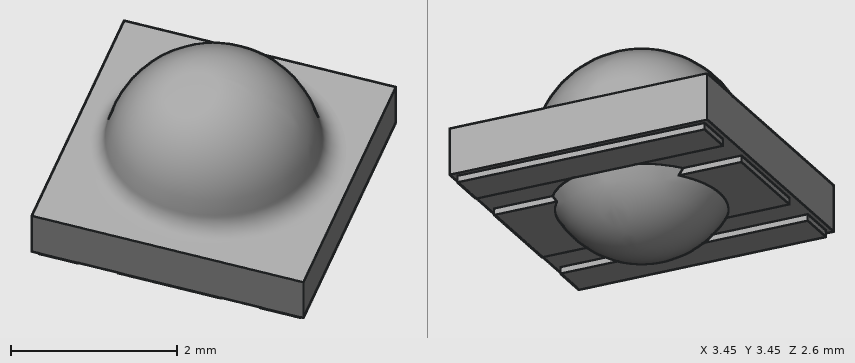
import cadquery as cq
import math

plate_size = 3.45
plate_thickness = 0.618

dome_radius = 1.328
dome_center_drop = 0.028
skirt_radius = 1.597

lower_dome_radius = 1.21
lower_dome_depth = 0.683

pad_thickness = 0.085
pad_length = 3.312
side_pad_width = 0.505
center_pad_width = 1.305
side_pad_offset = (pad_length - side_pad_width) / 2


def make_upper_dome():
    """Spherical dome with a fillet tangent to both sphere and plate top."""
    center_z = plate_thickness - dome_center_drop
    apex_z = center_z + dome_radius
    fillet_radius = (skirt_radius**2 + dome_center_drop**2 - dome_radius**2) / (
        2 * (dome_radius - dome_center_drop)
    )
    join_angle = math.atan2(fillet_radius + dome_center_drop, skirt_radius)
    join = (
        dome_radius * math.cos(join_angle),
        center_z + dome_radius * math.sin(join_angle),
    )
    dome_mid_angle = (join_angle + math.pi / 2) / 2
    dome_mid = (
        dome_radius * math.cos(dome_mid_angle),
        center_z + dome_radius * math.sin(dome_mid_angle),
    )
    fillet_mid_angle = (math.pi / 2 + join_angle) / 2
    fillet_mid = (
        skirt_radius - fillet_radius * math.cos(fillet_mid_angle),
        plate_thickness + fillet_radius * (1 - math.sin(fillet_mid_angle)),
    )
    return (
        cq.Workplane("XZ")
        .moveTo(0, 0)
        .lineTo(skirt_radius, 0)
        .lineTo(skirt_radius, plate_thickness)
        .threePointArc(fillet_mid, join)
        .threePointArc(dome_mid, (0, apex_z))
        .close()
        .revolve(360, (0, 0, 0), (0, 1, 0))
    )


def make_lower_dome():
    """Spherical cap hanging below the plate."""
    center_z = lower_dome_radius - lower_dome_depth
    rim_radius = math.sqrt(lower_dome_radius**2 - center_z**2)
    mid_angle = math.atan2(center_z, rim_radius) / 2 + math.pi / 4
    mid = (
        lower_dome_radius * math.cos(mid_angle),
        center_z - lower_dome_radius * math.sin(mid_angle),
    )
    return (
        cq.Workplane("XZ")
        .moveTo(0, 0)
        .lineTo(rim_radius, 0)
        .threePointArc(mid, (0, -lower_dome_depth))
        .close()
        .revolve(360, (0, 0, 0), (0, 1, 0))
    )


def make_pad(center_x, width):
    """Contact pad running along Y under the plate."""
    return (
        cq.Workplane("XY")
        .center(center_x, 0)
        .rect(width, pad_length)
        .extrude(-pad_thickness)
    )


result = cq.Workplane("XY").rect(plate_size, plate_size).extrude(plate_thickness)
result = result.union(make_upper_dome()).union(make_lower_dome())
for center_x, width in (
    (-side_pad_offset, side_pad_width),
    (0, center_pad_width),
    (side_pad_offset, side_pad_width),
):
    result = result.union(make_pad(center_x, width))